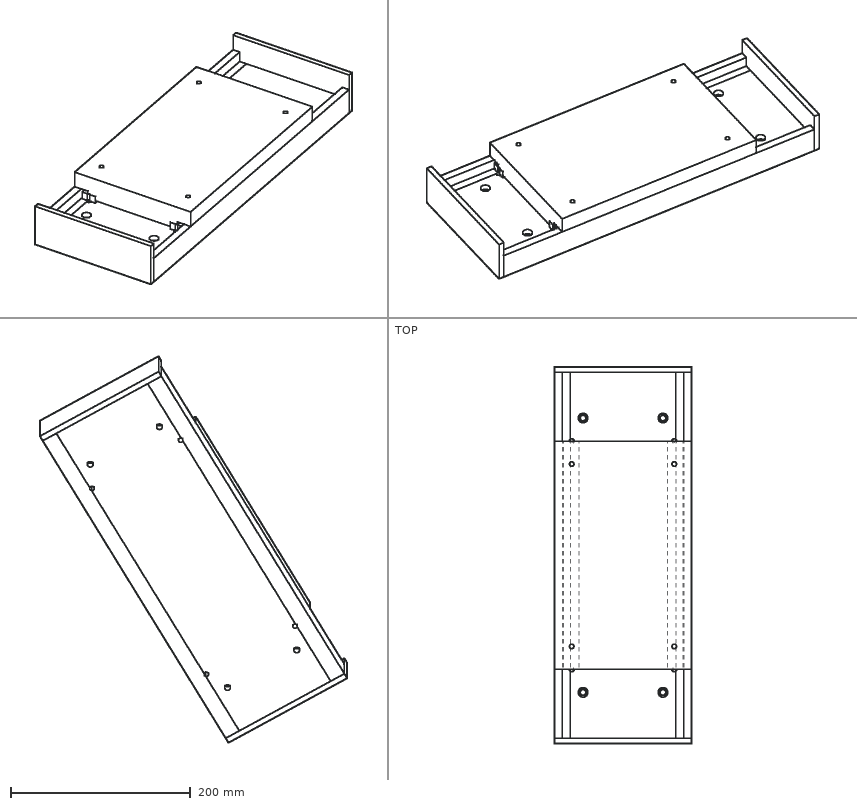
import cadquery as cq
import math

sides = (-1, 1)

length = 419.0
width = 152.5
height = 50.7
end_thickness = 6.3

floor_top = 19.0
floor_width = 117.5
rail_top = 31.5
rail_wall = 9.0
base_length = length - 2 * end_thickness
channel_width = width - 2 * rail_wall

mount_x = 44.5
mount_y = 152.5
mount_diameter = 6.3
mount_bore_diameter = 10.5
mount_bore_depth = 6.3

carriage_length = 254.0
rib_bottom = 22.2
rib_width = floor_width

bar_width = 17.0
bar_height = 9.0
bar_top = floor_top + bar_height
bar_center_x = 58.0

screw_x = 57.0
screw_y = 101.5
screw_diameter = 5.0
screw_depth = 12.5
drill_tip_angle = 118

pin_y = carriage_length / 2
base_pin_x = screw_x
base_pin_diameter = 5.0
bar_pin_diameter = 3.0


def block(size_x, size_y, bottom, top, center_x=0):
    """Box centred on center_x and on the XZ plane, standing between two heights."""
    return (
        cq.Workplane("XY", origin=(center_x, 0, bottom))
        .box(size_x, size_y, top - bottom, centered=(True, True, False))
    )


def mirrored_points(x, y):
    """Four points placed symmetrically about both centre lines."""
    return [(sx * x, sy * y) for sx in sides for sy in sides]


def pin_holes(diameter, center_x):
    """Upright cylinders for four pin holes centred on the ends of the carriage."""
    return (
        cq.Workplane("XY")
        .pushPoints(mirrored_points(center_x, pin_y))
        .circle(diameter / 2)
        .extrude(bar_top)
    )


def make_floor():
    """Floor plate with counterbored mounting holes and pin holes."""
    floor = block(floor_width, base_length, 0, floor_top)
    floor = (
        floor.faces(">Z").workplane()
        .pushPoints(mirrored_points(mount_x, mount_y))
        .cboreHole(mount_diameter, mount_bore_diameter, mount_bore_depth)
    )
    return floor.cut(pin_holes(base_pin_diameter, base_pin_x))


def make_side_rail(side):
    """L-shaped rail: a ledge level with the floor and an outer wall."""
    inner = side * floor_width / 2
    wall = side * channel_width / 2
    outer = side * width / 2
    rail = (
        cq.Workplane("XZ")
        .polyline([
            (inner, 0), (outer, 0), (outer, rail_top),
            (wall, rail_top), (wall, floor_top), (inner, floor_top),
        ])
        .close()
        .extrude(base_length / 2, both=True)
    )
    return rail.cut(pin_holes(base_pin_diameter, base_pin_x))


def make_end_plate(side):
    """Full-height plate closing one end of the base."""
    center_y = side * (length - end_thickness) / 2
    return block(width, end_thickness, 0, height).translate((0, center_y, 0))


def make_guide_bar(side):
    """Bar straddling the joint of floor and rail, grooved at both ends."""
    bar = block(bar_width, carriage_length, floor_top, bar_top, side * bar_center_x)
    return bar.cut(pin_holes(bar_pin_diameter, bar_center_x))


def screw_holes():
    """Blind drilled holes with conical tips, opening at the carriage top."""
    radius = screw_diameter / 2
    tip = radius / math.tan(math.radians(drill_tip_angle / 2))
    drill = (
        cq.Workplane("XZ")
        .polyline([
            (0, height), (radius, height),
            (radius, height - screw_depth), (0, height - screw_depth - tip),
        ])
        .close()
        .revolve(360, (0, 0, 0), (0, 1, 0))
    )
    holes = cq.Workplane("XY")
    for x, y in mirrored_points(screw_x, screw_y):
        holes = holes.add(drill.val().translate(cq.Vector(x, y, 0)))
    return holes.combine()


def make_carriage():
    """Plate and rib, with rabbets that clear the guide bars."""
    plate = block(width, carriage_length, rail_top, height)
    rib = block(rib_width, carriage_length, rib_bottom, rail_top)
    carriage = plate.union(rib)
    for side in sides:
        carriage = carriage.cut(
            block(bar_width, carriage_length, rib_bottom, bar_top, side * bar_center_x)
        )
    return carriage.cut(screw_holes())


floor = make_floor()
side_rails = [make_side_rail(side) for side in sides]
end_plates = [make_end_plate(side) for side in sides]
guide_bars = [make_guide_bar(side) for side in sides]
carriage = make_carriage()

bodies = [floor, *side_rails, *end_plates, *guide_bars, carriage]
result = cq.Compound.makeCompound([body.val() for body in bodies])